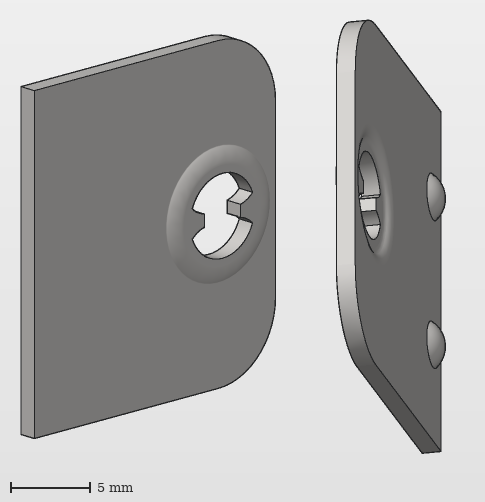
import cadquery as cq
import math

thickness = 1.25
height = 23.0
width = 21.0
corner_radius = 5.0
hole_to_edge = 5.0
edge_y = hole_to_edge - width

dish_depth = 0.4
rim_radius = 4.53
floor_radius = 3.35
rim_bend = 1.33
wall_angle = 2 * math.atan(dish_depth / (rim_radius - floor_radius))
floor_bend = (rim_radius - floor_radius) / math.sin(wall_angle) - rim_bend

hole_radius = 2.8
tab_tip_y = 1.56
tab_tip_half = 0.44
tab_root_half = 1.01
flank_sag = 0.1

bump_radius = 1.52
bump_height = 0.75
bump_to_edge = 2.0
bump_spacing = 10.0


def make_plate():
    plate = cq.Workplane("YZ").rect(width, height).extrude(thickness)
    plate = plate.edges("|X and >Y").fillet(corner_radius)
    return plate.translate((0, hole_to_edge - width / 2, 0))


def rim_point(radius, angle):
    """Point on the outer bend, measured from the flat plate."""
    return (rim_bend - radius * math.cos(angle), rim_radius - radius * math.sin(angle))


def floor_point(radius, angle):
    """Point on the inner bend, measured from the flat floor."""
    centre_x = dish_depth - floor_bend
    return (centre_x + radius * math.cos(angle), floor_radius + radius * math.sin(angle))


def make_dish():
    """Revolved sheet of constant thickness with an S-shaped wall."""
    half_angle = wall_angle / 2
    rim_back = rim_bend - thickness
    floor_back = floor_bend + thickness
    return (
        cq.Workplane("XY")
        .moveTo(0, rim_radius)
        .threePointArc(rim_point(rim_bend, half_angle), rim_point(rim_bend, wall_angle))
        .threePointArc(floor_point(floor_bend, half_angle), (dish_depth, floor_radius))
        .lineTo(dish_depth, 0)
        .lineTo(dish_depth + thickness, 0)
        .lineTo(dish_depth + thickness, floor_radius)
        .threePointArc(floor_point(floor_back, half_angle), floor_point(floor_back, wall_angle))
        .threePointArc(rim_point(rim_back, half_angle), (thickness, rim_radius))
        .close()
        .revolve(360, (0, 0, 0), (1, 0, 0))
    )


def make_hole():
    """Round opening less the two tabs, cut right through the dish."""
    root_y = math.sqrt(hole_radius**2 - tab_root_half**2)
    depth = thickness + dish_depth
    opening = cq.Workplane("YZ").circle(hole_radius).extrude(depth)
    for side in (1, -1):
        tip_y = side * tab_tip_y
        tab = (
            cq.Workplane("YZ")
            .moveTo(tip_y, -tab_tip_half)
            .lineTo(tip_y, tab_tip_half)
            .sagittaArc((side * root_y, tab_root_half), -side * flank_sag)
            .lineTo(side * hole_radius, tab_root_half)
            .lineTo(side * hole_radius, -tab_root_half)
            .lineTo(side * root_y, -tab_root_half)
            .sagittaArc((tip_y, -tab_tip_half), -side * flank_sag)
            .close()
            .extrude(depth)
        )
        opening = opening.cut(tab)
    return opening


def make_bump(y, z):
    """Spherical cap standing out of the front face."""
    sphere_radius = (bump_radius**2 + bump_height**2) / (2 * bump_height)
    sphere = cq.Workplane("XY").sphere(sphere_radius).translate((sphere_radius - bump_height, 0, 0))
    cap_bounds = cq.Workplane("YZ").circle(bump_radius).extrude(thickness / 2 + bump_height)
    cap = sphere.intersect(cap_bounds.translate((-bump_height, 0, 0)))
    return cap.translate((0, y, z))


dish_blank = cq.Workplane("YZ").circle(rim_radius).extrude(thickness)
result = make_plate().cut(dish_blank).union(make_dish()).cut(make_hole())
for bump_z in (-bump_spacing / 2, bump_spacing / 2):
    result = result.union(make_bump(edge_y + bump_to_edge, bump_z))